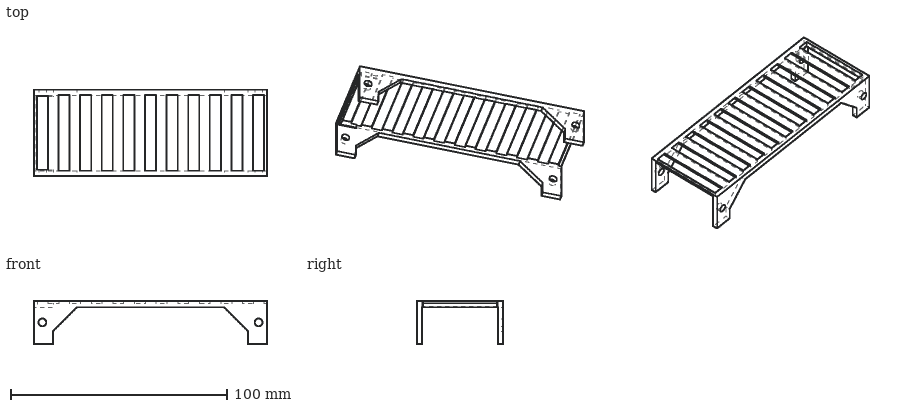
import cadquery as cq

length = 108.0
width = 40.0
height = 20.0

side_thickness = 2.5
bar_thickness = 1.07
inner_width = width - 2 * side_thickness

beam_depth = 3.0
leg_width = 9.0
foot_height = 6.0
gusset_size = height - beam_depth - foot_height

hole_diameter = 3.5
hole_spacing = 100.0
hole_height = 10.0

slot_count = 11
slot_width = 5.0
slot_pitch = 10.0
first_slot_x = -slot_pitch * (slot_count - 1) / 2

frame_length = leg_width
frame_cheek = 0.5
frame_opening = inner_width - 2 * frame_cheek
frame_rail = length / 2 + first_slot_x - slot_width / 2
frame_bevel = 0.5


def block(x_start, x_end, y_size, z_bottom, z_top):
    """Box between two X stations, centred in Y."""
    return cq.Workplane("XY", origin=(x_start, 0, z_bottom)).box(
        x_end - x_start, y_size, z_top - z_bottom, centered=(False, True, False)
    )


def bridge_body():
    """Bridge profile across the full width: two feet with 45 degree gussets."""
    end_x = length / 2
    foot_x = end_x - leg_width
    span_x = foot_x - gusset_size
    beam_bottom = height - beam_depth
    outline = [
        (-end_x, 0),
        (-foot_x, 0),
        (-foot_x, foot_height),
        (-span_x, beam_bottom),
        (span_x, beam_bottom),
        (foot_x, foot_height),
        (foot_x, 0),
        (end_x, 0),
        (end_x, height),
        (-end_x, height),
    ]
    return cq.Workplane("XZ").polyline(outline).close().extrude(width / 2, both=True)


def inner_space():
    """Space under the thin bars, between the two side walls."""
    return block(-length / 2, length / 2, inner_width, 0, height - bar_thickness)


def end_frame():
    """U-shaped frame under the -X end: a rail with a bevelled lower edge and two short cheeks."""
    outer_x = -length / 2
    bottom_z = height - beam_depth
    frame = block(outer_x, outer_x + frame_length, inner_width, bottom_z, height - bar_thickness)
    opening = block(outer_x + frame_rail, outer_x + frame_length, frame_opening, bottom_z, height)
    bevel_outline = [
        (outer_x, bottom_z),
        (outer_x + frame_bevel, bottom_z),
        (outer_x, bottom_z + frame_bevel),
    ]
    bevel = cq.Workplane("XZ").polyline(bevel_outline).close().extrude(frame_opening / 2, both=True)
    return frame.cut(opening).cut(bevel)


def leg_holes():
    """Pair of holes along Y through both side walls."""
    return (
        cq.Workplane("XZ", origin=(0, 0, hole_height))
        .rarray(hole_spacing, 1, 2, 1)
        .circle(hole_diameter / 2)
        .extrude(width / 2, both=True)
    )


def cut_slots(body):
    """Cut the row of slots; the first one is only as long as the frame opening."""
    for index in range(slot_count):
        slot_length = frame_opening if index == 0 else inner_width
        x_start = first_slot_x + index * slot_pitch - slot_width / 2
        slot = block(x_start, x_start + slot_width, slot_length, height - beam_depth, height)
        body = body.cut(slot)
    return body


bridge = bridge_body().cut(inner_space()).union(end_frame())
result = cut_slots(bridge).cut(leg_holes())